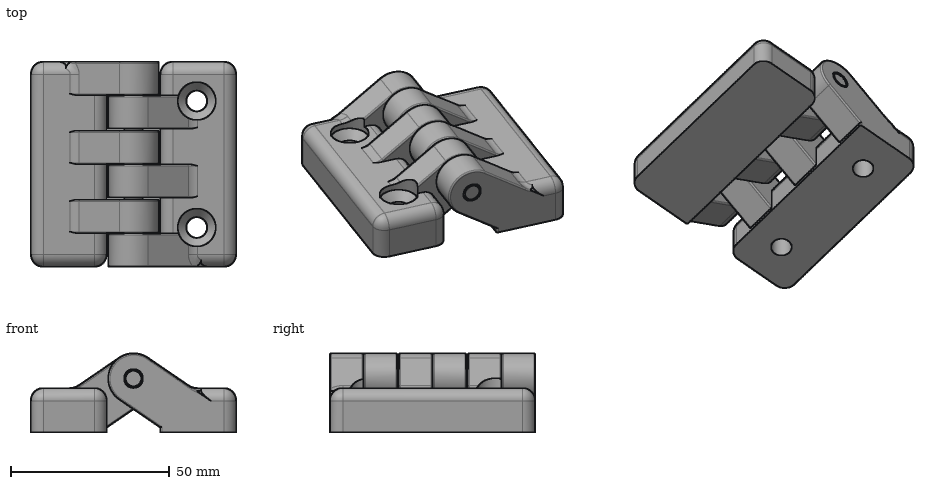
import cadquery as cq
import math

HINGE_WIDTH = 65.0
HINGE_LENGTH = 64.9
END_Y = -HINGE_LENGTH / 2

PLATE_WIDTH = 24.05
PLATE_HEIGHT = 14.0
PLATE_ROUND = 4.0
PLATE_OUTER_X = HINGE_WIDTH / 2
PLATE_INNER_X = PLATE_OUTER_X - PLATE_WIDTH

PIN_HEIGHT = 17.0
BARREL_RADIUS = 8.0
ARM_SLOPE = math.radians(34.4)
ARM_EDGE_ROUND = 0.5
ARM_ROOT_ROUND = 5.0
KNUCKLES_PER_LEAF = 3
CLOSE_GAP = 0.05
PAIR_GAP = 0.5
PAIR_PITCH = (HINGE_LENGTH + PAIR_GAP) / KNUCKLES_PER_LEAF
ARM_LENGTH = (PAIR_PITCH - PAIR_GAP - CLOSE_GAP) / 2

SIN = math.sin(ARM_SLOPE)
COS = math.cos(ARM_SLOPE)
TAN = math.tan(ARM_SLOPE)
FLANK_OFFSET = BARREL_RADIUS / COS
TANGENT_X = BARREL_RADIUS * SIN
TANGENT_Z = BARREL_RADIUS * COS
BARREL_TIP = (-BARREL_RADIUS * COS, PIN_HEIGHT + BARREL_RADIUS * SIN)
UPPER_TANGENT = (TANGENT_X, PIN_HEIGHT + TANGENT_Z)
LOWER_TANGENT = (-TANGENT_X, PIN_HEIGHT - TANGENT_Z)
FLANK_FOOT = (PLATE_INNER_X, PIN_HEIGHT - FLANK_OFFSET - PLATE_INNER_X * TAN)
ROOT_X = (PIN_HEIGHT + FLANK_OFFSET - PLATE_HEIGHT) / TAN
ROOT_SETBACK = ARM_ROOT_ROUND * math.tan(ARM_SLOPE / 2)
ROOT_START = (ROOT_X - ROOT_SETBACK * COS, PLATE_HEIGHT + ROOT_SETBACK * SIN)
ROOT_MIDDLE = (
    ROOT_X + ROOT_SETBACK - ARM_ROOT_ROUND * math.sin(ARM_SLOPE / 2),
    PLATE_HEIGHT + ARM_ROOT_ROUND * (1 - math.cos(ARM_SLOPE / 2)),
)
ROOT_END = (ROOT_X + ROOT_SETBACK, PLATE_HEIGHT)
END_ARM_TIP_X = ROOT_X + PLATE_ROUND / TAN
UPPER_GROUND_X = (PIN_HEIGHT + FLANK_OFFSET) / TAN

BALL_SIN = PLATE_ROUND / (PLATE_ROUND + ARM_ROOT_ROUND)
BALL_COS = math.sqrt(1 - BALL_SIN**2)
BLEND_STOP_HEIGHT = ARM_ROOT_ROUND * (1 - BALL_COS * COS)
BLEND_STOP_DEPTH = ARM_ROOT_ROUND * BALL_SIN
BLEND_OVERRUN = 10.0
BLEND_STOCK_LENGTH = 2 * ARM_LENGTH

PIN_DIAMETER = 6.0
PIN_END_DIAMETER = 4.92
PIN_END_CHAMFER = (PIN_DIAMETER - PIN_END_DIAMETER) / 2

SCREW_X = 20.0
SCREW_Y = 20.0
SCREW_DIAMETER = 6.5
HEAD_DIAMETER = 12.0
HEAD_RECESS_DEPTH = 2.0
SINK_DEPTH = (HEAD_DIAMETER - SCREW_DIAMETER) / 2


def plate():
    """Plate of the +X leaf, rounded at the top and the upright corners."""
    block = cq.Workplane("XY").box(
        PLATE_WIDTH, HINGE_LENGTH, PLATE_HEIGHT, centered=(False, True, False)
    )
    return block.edges("|Z or >Z").fillet(PLATE_ROUND).translate((PLATE_INNER_X, 0, 0))


def barrel_profile(start_y):
    """Open arm outline from the flank foot, around the barrel, to the upper tangent point."""
    return (
        cq.Workplane("XZ", origin=(0, start_y, 0))
        .moveTo(PLATE_INNER_X, 0)
        .lineTo(*FLANK_FOOT)
        .lineTo(*LOWER_TANGENT)
        .threePointArc(BARREL_TIP, UPPER_TANGENT)
    )


def round_side_edges(arm):
    """Round both side faces along the flanks and barrel; rounds follow on into tangent edges."""
    clear_of_base = cq.selectors.BoxSelector(
        (-HINGE_WIDTH, -HINGE_LENGTH, ARM_EDGE_ROUND), (ROOT_X, HINGE_LENGTH, HINGE_WIDTH)
    )
    return arm.faces("<Y or >Y").edges(clear_of_base).fillet(ARM_EDGE_ROUND)


def inner_arm(start_y):
    """Arm whose root runs into the flat plate top."""
    stock = (
        barrel_profile(start_y)
        .lineTo(*ROOT_START)
        .threePointArc(ROOT_MIDDLE, ROOT_END)
        .lineTo(ROOT_END[0], 0)
        .close()
        .extrude(-ARM_LENGTH)
    )
    return round_side_edges(stock)


def blend_stock():
    """Overlong arm on an overlong plate edge, joined by the full root round."""
    arm = (
        barrel_profile(END_Y - BLEND_OVERRUN)
        .lineTo(UPPER_GROUND_X, 0)
        .close()
        .extrude(-BLEND_STOCK_LENGTH - BLEND_OVERRUN)
    )
    plate_edge = (
        cq.Workplane("XY", origin=(PLATE_INNER_X, END_Y, 0))
        .box(UPPER_GROUND_X, BLEND_STOCK_LENGTH, PLATE_HEIGHT, centered=False)
        .edges("<Y and >Z")
        .fillet(PLATE_ROUND)
    )
    return arm.union(plate_edge).edges("%ELLIPSE").fillet(ARM_ROOT_ROUND)


def blend_limit():
    """Space below the plane through the flank's outer edge and the end of the rolling ball blend."""
    rise = ARM_LENGTH * BLEND_STOP_HEIGHT / BLEND_STOP_DEPTH
    across_flank = cq.Plane(
        origin=(UPPER_TANGENT[0], END_Y, UPPER_TANGENT[1]), xDir=(0, 1, 0), normal=(COS, 0, -SIN)
    )
    return (
        cq.Workplane(across_flank)
        .lineTo(ARM_LENGTH, rise)
        .lineTo(ARM_LENGTH, -HINGE_WIDTH)
        .lineTo(0, -HINGE_WIDTH)
        .close()
        .extrude(HINGE_WIDTH, both=True)
    )


def end_arm():
    """Arm flush with the hinge end, its root blended over the rounded plate end."""
    extent = cq.Workplane("XY", origin=(-BARREL_RADIUS, END_Y, 0)).box(
        BARREL_RADIUS + END_ARM_TIP_X, ARM_LENGTH, HINGE_WIDTH, centered=False
    )
    return round_side_edges(blend_stock().intersect(extent).intersect(blend_limit()))


def leaf():
    """+X leaf without screw holes; its end arm sits at the -Y end."""
    body = plate().union(end_arm())
    for index in range(1, KNUCKLES_PER_LEAF):
        body = body.union(inner_arm(END_Y + index * PAIR_PITCH))
    return body


def screw_hole(y):
    """Through hole with a conical sink below a straight head recess."""
    sink_top = PLATE_HEIGHT - HEAD_RECESS_DEPTH
    section = (
        cq.Workplane("XZ", origin=(SCREW_X, y, 0))
        .lineTo(SCREW_DIAMETER / 2, 0)
        .lineTo(SCREW_DIAMETER / 2, sink_top - SINK_DEPTH)
        .lineTo(HEAD_DIAMETER / 2, sink_top)
        .lineTo(HEAD_DIAMETER / 2, HINGE_WIDTH)
        .lineTo(0, HINGE_WIDTH)
        .close()
    )
    return section.revolve(360, (0, 0, 0), (0, 1, 0))


def pin():
    """Plain hinge pin over the full length; also the shape of its bore."""
    axis_end = cq.Workplane("XZ", origin=(0, -END_Y, PIN_HEIGHT))
    return axis_end.circle(PIN_DIAMETER / 2).extrude(HINGE_LENGTH)


plain_leaf = leaf()
drilled_leaf = plain_leaf
for hole_y in (-SCREW_Y, SCREW_Y):
    drilled_leaf = drilled_leaf.cut(screw_hole(hole_y))
turned_leaf = plain_leaf.rotate((0, 0, 0), (0, 0, 1), 180)

plain_pin = pin()
chamfered_pin = plain_pin.faces("<Y or >Y").chamfer(PIN_END_CHAMFER)
result = drilled_leaf.union(turned_leaf).cut(plain_pin).union(chamfered_pin)